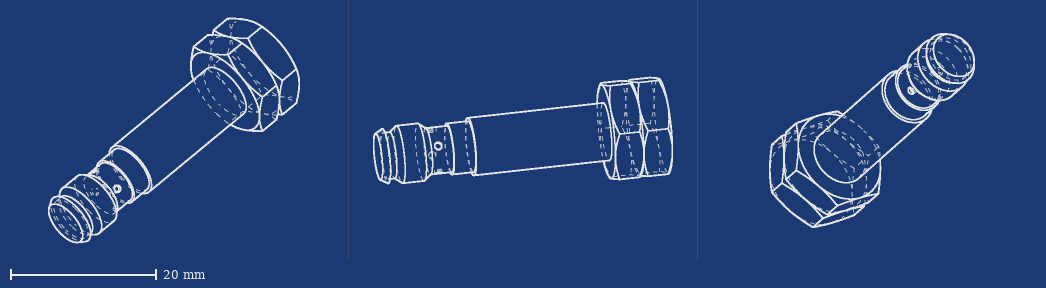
import cadquery as cq
import math

total_length = 40.0

nut_count = 2
hexagon_sides = 6
nut_thickness = 4.0
nut_across_flats = 13.0
nut_chamfer_angle = 30.0

shaft_diameter = 8.0
step_diameter = 7.1
neck_diameter = 6.45
collar_diameter = 8.0
lip_diameter = 7.6

lip_length = 1.0
groove_length = 1.0
collar_front_taper = 1.0
collar_length = 3.0
collar_rear_taper = 1.0
neck_length = 3.0
step_length = 3.0

hole_diameter = 1.0
hole_depth = 0.5
floor_cone_height = 0.3
hole_from_collar = 1.0
hole_count = 4
first_hole_angle = 45.0

groove_start = lip_length
taper_start = groove_start + groove_length
collar_start = taper_start + collar_front_taper
collar_end = collar_start + collar_length
neck_start = collar_end + collar_rear_taper
neck_end = neck_start + neck_length
step_end = neck_end + step_length
hole_station = neck_start + hole_from_collar


def make_body():
    """Turned body: half profile of (radius, station) points revolved about Y."""
    shaft_radius = shaft_diameter / 2
    step_radius = step_diameter / 2
    neck_radius = neck_diameter / 2
    collar_radius = collar_diameter / 2
    lip_radius = lip_diameter / 2
    profile = [
        (0, 0),
        (neck_radius, 0),
        (lip_radius, groove_start),
        (neck_radius, groove_start),
        (neck_radius, taper_start),
        (collar_radius, collar_start),
        (collar_radius, collar_end),
        (neck_radius, neck_start),
        (neck_radius, neck_end),
        (step_radius, neck_end),
        (step_radius, step_end),
        (shaft_radius, step_end),
        (shaft_radius, total_length),
        (0, total_length),
    ]
    return cq.Workplane("XY").polyline(profile).close().revolve(360, (0, 0), (0, 1))


def make_nut(start):
    """Hexagon nut with flats facing +X and -X, its corners chamfered on both faces."""
    end = start + nut_thickness
    face_radius = nut_across_flats / 2
    corner_radius = face_radius / math.cos(math.pi / hexagon_sides)
    chamfer_drop = (corner_radius - face_radius) * math.tan(math.radians(nut_chamfer_angle))
    prism = (
        cq.Workplane("XZ", origin=(0, start, 0))
        .transformed(rotate=(0, 0, 90))
        .polygon(hexagon_sides, 2 * corner_radius)
        .extrude(-nut_thickness)
    )
    envelope_profile = [
        (0, start),
        (face_radius, start),
        (corner_radius, start + chamfer_drop),
        (corner_radius, end - chamfer_drop),
        (face_radius, end),
        (0, end),
    ]
    envelope = cq.Workplane("XY").polyline(envelope_profile).close().revolve(360, (0, 0), (0, 1))
    return prism.intersect(envelope)


def make_neck_hole(angle):
    """Cutter for one blind hole, pointing away from the axis at the given angle about Y."""
    hole_radius = hole_diameter / 2
    mouth = neck_diameter / 2
    floor = mouth - hole_depth
    cutter_top = mouth + hole_depth
    profile = [
        (0, floor + floor_cone_height),
        (hole_radius, floor),
        (hole_radius, cutter_top),
        (0, cutter_top),
    ]
    cutter = cq.Workplane("YZ").polyline(profile).close().revolve(360, (0, 0), (0, 1))
    return cutter.translate((0, hole_station, 0)).rotate((0, 0, 0), (0, 1, 0), angle)


result = make_body()
for nut_index in range(nut_count):
    nut_start = total_length - (nut_index + 1) * nut_thickness
    result = result.union(make_nut(nut_start))
for hole_index in range(hole_count):
    hole_angle = first_hole_angle + hole_index * 360 / hole_count
    result = result.cut(make_neck_hole(hole_angle))